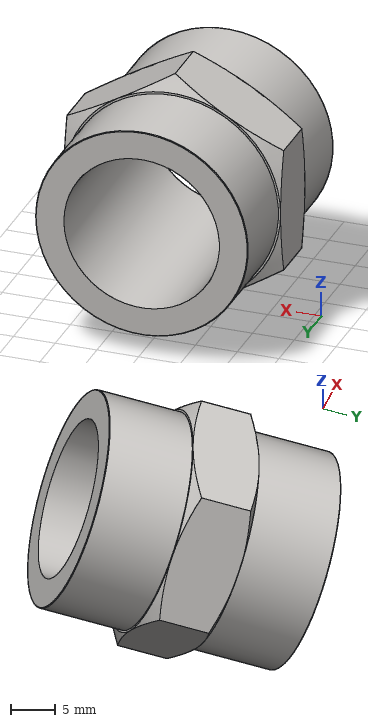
import cadquery as cq
import math

length = 28.0
sleeve_diameter = 25.5
bore_diameter = 18.65
end_chamfer = 0.1
hex_across_corners = 30.02
hex_width = 8.0
hex_chamfer_length = 1.02

hex_across_flats = hex_across_corners * math.cos(math.radians(30))
corner_radius = hex_across_corners / 2
chamfer_circle_radius = hex_across_flats / 2


def make_sleeve():
    """Round sleeve with lightly chamfered outer ends."""
    sleeve = cq.Workplane("XZ").circle(sleeve_diameter / 2).extrude(length / 2, both=True)
    return sleeve.faces("<Y or >Y").edges().chamfer(end_chamfer)


def make_hexagon():
    """Central hexagon, corners on +Z and -Z, with conically turned corners."""
    prism = (
        cq.Workplane("XZ")
        .transformed(rotate=(0, 0, 90))
        .polygon(6, hex_across_corners)
        .extrude(hex_width / 2, both=True)
    )
    half_width = hex_width / 2
    shoulder = half_width - hex_chamfer_length
    turned_blank = (
        cq.Workplane("XY")
        .moveTo(0, -half_width)
        .lineTo(chamfer_circle_radius, -half_width)
        .lineTo(corner_radius, -shoulder)
        .lineTo(corner_radius, shoulder)
        .lineTo(chamfer_circle_radius, half_width)
        .lineTo(0, half_width)
        .close()
        .revolve(360, (0, 0, 0), (0, 1, 0))
    )
    return prism.intersect(turned_blank)


bore = cq.Workplane("XZ").circle(bore_diameter / 2).extrude(length / 2, both=True)

result = make_sleeve().union(make_hexagon()).cut(bore)